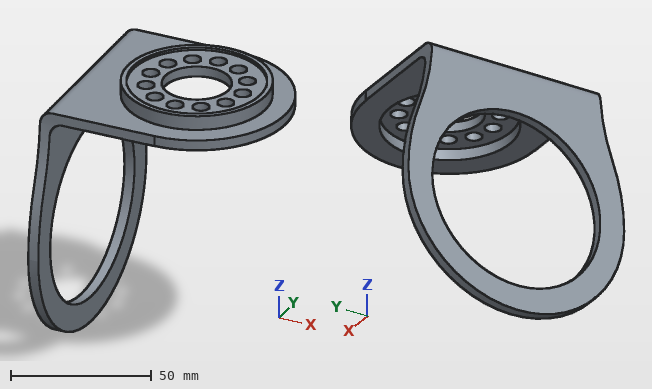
import cadquery as cq
import math

total_height = 105.5
total_length = 80.0
ring_diameter = 90.0
ring_hole_radius = 35.0
sheet_thickness = 4.0
bend_outer_radius = 5.0
bend_inner_radius = 5.0
plate_half_width = 35.0
disc_radius = 27.0
disc_height = 5.5
recess_radius = 25.0
recess_depth = 1.0
disc_floor_thickness = 4.0
bore_radius = 12.5
bolt_circle_radius = 18.0
bolt_hole_diameter = 6.0
bolt_hole_count = 12

ring_radius = ring_diameter / 2
plate_top = total_height - ring_radius - disc_height
plate_bottom = plate_top - sheet_thickness
disc_top = plate_top + disc_height
floor_bottom = disc_top - recess_depth - disc_floor_thickness
disc_x = total_length - plate_half_width


def make_bent_sheet():
    """L-shaped sheet with a rounded bend, ending at the disc axis."""
    sheet = (
        cq.Workplane("XZ")
        .moveTo(0, -ring_radius)
        .lineTo(0, plate_top)
        .lineTo(disc_x, plate_top)
        .lineTo(disc_x, plate_bottom)
        .lineTo(sheet_thickness, plate_bottom)
        .lineTo(sheet_thickness, -ring_radius)
        .close()
        .extrude(ring_radius, both=True)
    )
    outer_edge = cq.selectors.NearestToPointSelector((0, 0, plate_top))
    inner_edge = cq.selectors.NearestToPointSelector((sheet_thickness, 0, plate_bottom))
    return sheet.edges(outer_edge).fillet(bend_outer_radius).edges(inner_edge).fillet(bend_inner_radius)


def make_flank_outline():
    """Ring outline whose flanks narrow to the plate along two equal, tangent arcs."""
    middle_y = (ring_radius + plate_half_width) / 2
    middle_z = plate_top / 2
    arc_offset = ring_radius - middle_y
    flank_radius = (middle_z**2 + arc_offset**2) / (2 * arc_offset)
    half_angle = math.asin(middle_z / flank_radius) / 2
    mid_offset = flank_radius * (1 - math.cos(half_angle))
    mid_rise = flank_radius * math.sin(half_angle)
    lower_y = ring_radius - mid_offset
    upper_y = plate_half_width + mid_offset
    upper_z = plate_top - mid_rise
    return (
        cq.Workplane("YZ")
        .moveTo(-ring_radius, 0)
        .threePointArc((0, -ring_radius), (ring_radius, 0))
        .threePointArc((lower_y, mid_rise), (middle_y, middle_z))
        .threePointArc((upper_y, upper_z), (plate_half_width, plate_top))
        .lineTo(-plate_half_width, plate_top)
        .threePointArc((-upper_y, upper_z), (-middle_y, middle_z))
        .threePointArc((-lower_y, mid_rise), (-ring_radius, 0))
        .close()
        .extrude(total_length)
    )


def vertical_cylinder(radius, bottom, top):
    """Cylinder on the disc axis."""
    return cq.Workplane("XY", origin=(disc_x, 0, bottom)).circle(radius).extrude(top - bottom)


bracket = make_bent_sheet().intersect(make_flank_outline())
bracket = bracket.union(vertical_cylinder(plate_half_width, plate_bottom, plate_top))
bracket = bracket.union(vertical_cylinder(disc_radius, plate_bottom, disc_top))

bracket = bracket.cut(vertical_cylinder(recess_radius, disc_top - recess_depth, disc_top))
bracket = bracket.cut(vertical_cylinder(recess_radius, plate_bottom, floor_bottom))
bracket = bracket.cut(vertical_cylinder(bore_radius, plate_bottom, disc_top))

bolt_holes = (
    cq.Workplane("XY", origin=(disc_x, 0, plate_bottom))
    .polarArray(bolt_circle_radius, 0, 360, bolt_hole_count)
    .circle(bolt_hole_diameter / 2)
    .extrude(disc_top - plate_bottom)
)
bracket = bracket.cut(bolt_holes)

ring_hole = cq.Workplane("YZ").circle(ring_hole_radius).extrude(sheet_thickness)
result = bracket.cut(ring_hole)